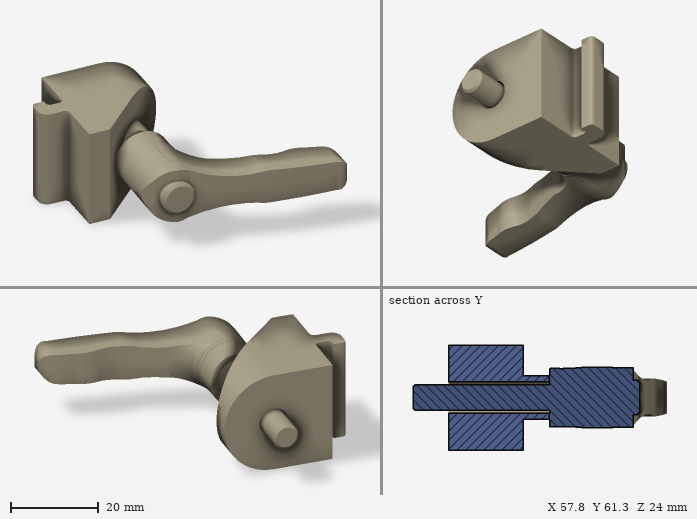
import cadquery as cq
import math


block_width = 24.0
round_radius = block_width / 2
top_length = 5.15
block_length = 26.9
slope_end_y = round_radius - (block_length - top_length)
left_foot_y = -14.35
right_foot_y = -14.95
hook_bottom_y = -21.4
hook_tip_x = 9.55
hook_tip_top_y = -18.25
neck_left_x = 11.6
neck_right_x = 15.3
small_fillet = 1.0
heel_fillet = 2.3
boss_diameter = 10.0
bore_diameter = 7.0

stud_diameter = 6.0
stud_tip_x = -8.0
stud_chamfer = 0.55
hub_face_x = 23.05
hub_face_radius = 6.7
hub_end_radius = 6.85
hub_chamfer = 0.2
hub_cone_end_x = 37.4
hub_back_x = 42.2
collar_start_x = 29.1
collar_radius = 6.85
shoulder_start_x = 30.4
shoulder_radius = 6.9
head_diameter = 8.0
head_end_x = 43.6
head_chamfer = 0.6
heel_corner = (40.5, -5.1)
heel_mid = (39.25, -6.25)
back_top_y = 0.25

arm_base_y = 2.8
arm_end_y = hook_bottom_y + 61.3
overlap = 0.01
waste_margin = 0.6
throat_foot = (30.5, shoulder_radius - overlap)
throat_top = (36.4, 11.95)
throat_mid = (33.9, 8.3)
inner_mid = (38.55, 17.55)
grip_low = (40.45, 23.3)
hollow_mid = (40.75, 25.75)
grip_mid = (40.45, 27.9)
bulge_mid = (40.35, 30.35)
grip_high = (40.95, 32.7)
nose_start = (41.75, 35.6)
nose_mid = (43.5, 38.6)
nose_end_x = 45.6
outer_tip = (49.5, 36.7)
outer_mid = (46.95, 20.1)
tip_bulge_x = 49.7
tip_bulge_y = 38.25
tip_flat_end_x = 47.9

waist_y = 14.6
waist_half = 3.75
swell_low_y = 20.1
swell_high_y = 21.2
swell_half = 4.3
tip_start_y = 36.7
tip_half = 3.75
tip_flat_half = 0.75


def cylinder_x(diameter, start_x, end_x):
    """Solid cylinder on the clamp axis."""
    return cq.Workplane("YZ", origin=(start_x, 0, 0)).circle(diameter / 2).extrude(end_x - start_x)


def revolve_x(outline):
    """Solid of revolution about the clamp axis."""
    return outline.close().revolve(360, (0, 0, 0), (1, 0, 0))


def extrude_z(outline, half_height):
    """Closed XY outline extruded evenly to both sides of Z = 0."""
    return outline.close().extrude(half_height, both=True)


def make_block_body():
    """Wedge with a hooked foot along its lower edge."""
    body = extrude_z(
        cq.Workplane("XY")
        .moveTo(0, round_radius)
        .lineTo(top_length, round_radius)
        .lineTo(block_length, slope_end_y)
        .lineTo(block_length, right_foot_y)
        .lineTo(neck_right_x, right_foot_y)
        .lineTo(neck_right_x, hook_bottom_y)
        .lineTo(hook_tip_x, hook_bottom_y)
        .lineTo(hook_tip_x, hook_tip_top_y)
        .lineTo(neck_left_x, hook_tip_top_y)
        .lineTo(neck_left_x, left_foot_y)
        .lineTo(0, left_foot_y),
        block_width / 2,
    )
    small_corners = (
        (neck_right_x, right_foot_y),
        (hook_tip_x, hook_bottom_y),
        (neck_left_x, hook_tip_top_y),
        (neck_left_x, left_foot_y),
    )
    for x, y in small_corners:
        body = body.edges(cq.selectors.NearestToPointSelector((x, y, 0))).fillet(small_fillet)
    heel = cq.selectors.NearestToPointSelector((neck_right_x, hook_bottom_y, 0))
    return body.edges(heel).fillet(heel_fillet)


def make_block():
    """Block with rounded top, boss, through bore and seat for the lever hub."""
    end_outline = (
        cq.Workplane("YZ")
        .moveTo(hook_bottom_y, -round_radius)
        .lineTo(0, -round_radius)
        .threePointArc((round_radius, 0), (0, round_radius))
        .lineTo(hook_bottom_y, round_radius)
        .close()
        .extrude(block_length)
    )
    body = make_block_body().intersect(end_outline)
    boss = cylinder_x(boss_diameter, top_length, hub_face_x)
    hub_seat = cylinder_x(2 * shoulder_radius, hub_face_x, block_length)
    bore = cylinder_x(bore_diameter, 0, hub_face_x)
    return body.union(boss).cut(hub_seat).cut(bore)


def half_ring(radius, start_x):
    """Raised half cylinder on the arm side of the hub."""
    half = cq.Workplane("YZ", origin=(start_x, 0, 0)).moveTo(0, -radius)
    half = half.threePointArc((radius, 0), (0, radius)).close()
    return half.extrude(hub_cone_end_x - start_x)


def make_hub():
    """Slightly conical hub with a rounded heel and a sloping back face."""
    hub = revolve_x(
        cq.Workplane("XY")
        .moveTo(hub_face_x, 0)
        .lineTo(hub_face_x, hub_face_radius - hub_chamfer)
        .lineTo(hub_face_x + hub_chamfer, hub_face_radius)
        .lineTo(hub_cone_end_x, hub_end_radius)
        .lineTo(hub_back_x, hub_end_radius)
        .lineTo(hub_back_x, 0)
    )
    back_waste = extrude_z(
        cq.Workplane("XY")
        .moveTo(hub_cone_end_x, -hub_end_radius - overlap)
        .threePointArc(heel_mid, heel_corner)
        .lineTo(hub_back_x, back_top_y)
        .lineTo(hub_back_x + waste_margin, back_top_y)
        .lineTo(hub_back_x + waste_margin, -block_width / 2)
        .lineTo(hub_cone_end_x, -block_width / 2),
        block_width / 2,
    )
    hub = hub.cut(back_waste)
    hub = hub.union(half_ring(collar_radius, collar_start_x))
    return hub.union(half_ring(shoulder_radius, shoulder_start_x))


def make_arm_side():
    """Curved arm outline with finger grip, extruded across the full width."""
    return extrude_z(
        cq.Workplane("XY")
        .moveTo(throat_foot[0], arm_base_y)
        .lineTo(hub_back_x - overlap, arm_base_y)
        .threePointArc(outer_mid, outer_tip)
        .threePointArc((tip_bulge_x, tip_bulge_y), (tip_flat_end_x, arm_end_y))
        .lineTo(nose_end_x, arm_end_y)
        .threePointArc(nose_mid, nose_start)
        .lineTo(*grip_high)
        .threePointArc(bulge_mid, grip_mid)
        .threePointArc(hollow_mid, grip_low)
        .threePointArc(inner_mid, throat_top)
        .threePointArc(throat_mid, throat_foot),
        block_width / 2,
    )


def make_arm_thickness():
    """Waisted arm outline across its thickness, extruded along X."""
    base_half = math.sqrt(shoulder_radius**2 - arm_base_y**2) - overlap
    tip_mid_y = tip_start_y + (arm_end_y - tip_start_y) * math.sqrt(0.5)
    tip_mid_half = tip_flat_half + (tip_half - tip_flat_half) * math.sqrt(0.5)
    return (
        cq.Workplane("YZ")
        .moveTo(arm_base_y, -base_half)
        .threePointArc((waist_y, -waist_half), (swell_low_y, -swell_half))
        .lineTo(swell_high_y, -swell_half)
        .lineTo(tip_start_y, -tip_half)
        .threePointArc((tip_mid_y, -tip_mid_half), (arm_end_y, -tip_flat_half))
        .lineTo(arm_end_y, tip_flat_half)
        .threePointArc((tip_mid_y, tip_mid_half), (tip_start_y, tip_half))
        .lineTo(swell_high_y, swell_half)
        .lineTo(swell_low_y, swell_half)
        .threePointArc((waist_y, waist_half), (arm_base_y, base_half))
        .close()
        .extrude(tip_bulge_x + waste_margin)
    )


def make_throat():
    """Trumpet-shaped space around the hub, turned about the clamp axis."""
    return revolve_x(
        cq.Workplane("XY")
        .moveTo(*throat_foot)
        .threePointArc(throat_mid, throat_top)
        .lineTo(throat_foot[0], throat_top[1])
    )


def make_lever():
    """Clamping lever with arm, hub, screw head and stud."""
    arm = make_arm_side().intersect(make_arm_thickness()).cut(make_throat())
    stud = cylinder_x(stud_diameter, stud_tip_x, hub_cone_end_x).faces("<X").chamfer(stud_chamfer)
    head = cylinder_x(head_diameter, hub_cone_end_x, head_end_x).faces(">X").chamfer(head_chamfer)
    return make_hub().union(arm).union(stud).union(head)


block = make_block()
lever = make_lever()
result = cq.Compound.makeCompound([block.val(), lever.val()])